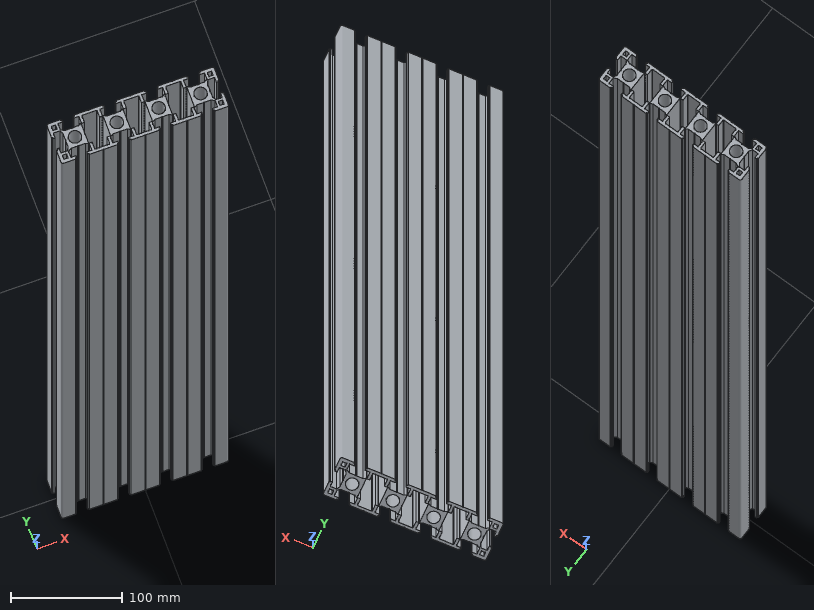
import cadquery as cq

cell = 40.0
cell_count = 4
length = 1000.0
width = cell * cell_count
half_cell = cell / 2
corner_radius = 2.0

skin = 3.0

recess_half_width = 6.4
recess_depth = 1.0
mouth_half_width = 5.2
slot_half_width = 10.0
shoulder_depth = 9.2
floor_half_width = 6.7
slot_depth = 11.0

groove_half_width = 0.6
groove_depth = 0.35

bore_diameter = 12.0

corner_wall = 3.5
corner_hole = 4.0

chamber_half_width = 21.0 / 2
chamber_half_waist = 10.0
neck_half_width = 7.2
neck_chamfer = 0.5

cell_centers = [cell * (i - (cell_count - 1) / 2) for i in range(cell_count)]
chamber_centers = [(a + b) / 2 for a, b in zip(cell_centers, cell_centers[1:])]


def mirrored_prism(half_outline):
    """Extrude an outline given by its +X half, mirrored about the Y axis."""
    other_half = [(-x, y) for x, y in reversed(half_outline) if x > 0]
    return cq.Workplane("XY").polyline(half_outline + other_half).close().extrude(length)


def turned(shape, angle):
    """The shape turned about the Z axis."""
    return shape.rotate((0, 0, 0), (0, 0, 1), angle)


def t_slot():
    """T-slot with a recessed mouth, opening towards +Y in a cell centred on the origin."""
    recess_floor = half_cell - recess_depth
    lip_underside = half_cell - skin
    slot_floor = half_cell - slot_depth
    return mirrored_prism([
        (recess_half_width, half_cell),
        (recess_half_width, recess_floor),
        (mouth_half_width, recess_floor),
        (mouth_half_width, lip_underside),
        (slot_half_width, lip_underside),
        (slot_half_width, half_cell - shoulder_depth),
        (floor_half_width, slot_floor),
        (groove_half_width, slot_floor),
        (0, slot_floor - groove_depth),
    ])


def face_groove():
    """V-groove in the +Y face."""
    return mirrored_prism([(groove_half_width, half_cell), (0, half_cell - groove_depth)])


def chamber():
    """Closed chamber, wide between the cell cores and narrower next to the outer skin."""
    roof = half_cell - skin
    upper = [
        (neck_half_width - neck_chamfer, roof),
        (neck_half_width, roof - neck_chamfer),
        (neck_half_width, chamber_half_waist),
        (chamber_half_width, chamber_half_waist),
    ]
    lower = [(x, -y) for x, y in reversed(upper)]
    return mirrored_prism(upper + lower)


result = (
    cq.Workplane("XY").rect(width, cell).extrude(length)
    .edges("|Z").fillet(corner_radius)
)

for x in cell_centers:
    for angle in (0, 180):
        result = result.cut(turned(t_slot(), angle).translate((x, 0, 0)))

for x, angle in ((cell_centers[0], 90), (cell_centers[-1], -90)):
    result = result.cut(turned(t_slot(), angle).translate((x, 0, 0)))

bores = (
    cq.Workplane("XY").pushPoints([(x, 0) for x in cell_centers])
    .circle(bore_diameter / 2).extrude(length)
)
result = result.cut(bores)

corner_offset = corner_wall + corner_hole / 2
corner_holes = (
    cq.Workplane("XY")
    .rect(width - 2 * corner_offset, cell - 2 * corner_offset, forConstruction=True)
    .vertices().rect(corner_hole, corner_hole).extrude(length)
)
result = result.cut(corner_holes)

for x in chamber_centers:
    result = result.cut(chamber().translate((x, 0, 0)))
    for angle in (0, 180):
        result = result.cut(turned(face_groove(), angle).translate((x, 0, 0)))

result = result.solids()